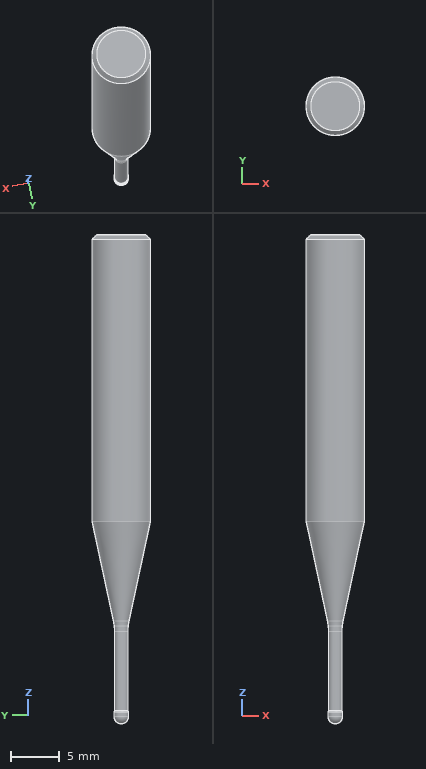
import cadquery as cq
import math

PROFILE_PLANE = cq.Plane(origin=(0, 0, 0), xDir=(0, -1, 0), normal=(-1, 0, 0))

total_length = 50.0
shank_radius = 3.0
shank_bottom = 20.7
top_chamfer = 0.5

ball_radius = 0.75
head_top = 1.2

neck_radius = 0.7
relief_cone_top = 1.35

neck_length = 10.0
blend_reach = 0.55
taper_angle = math.atan2(shank_radius - neck_radius, shank_bottom - neck_length)
blend_radius = blend_reach / math.tan(taper_angle / 2)
blend_bottom = neck_length - blend_reach


def blend_point(angle):
    """Profile point on the blend arc after it has turned by angle from the neck."""
    return (
        neck_radius + blend_radius * (1 - math.cos(angle)),
        blend_bottom + blend_radius * math.sin(angle),
    )


def revolve_profile(profile):
    """Turn a radius-height profile about Z, keeping the edge between the blend arcs."""
    return profile.close().revolve(360, (0, 0, 0), (0, 1, 0), clean=False)


def make_cutting_head():
    """Hemispherical tip under a short cylinder."""
    arc_middle = (
        ball_radius * math.sin(math.pi / 4),
        ball_radius * (1 - math.cos(math.pi / 4)),
    )
    profile = (
        cq.Workplane(PROFILE_PLANE)
        .moveTo(0, 0)
        .threePointArc(arc_middle, (ball_radius, ball_radius))
        .lineTo(ball_radius, head_top)
        .lineTo(0, head_top)
    )
    return revolve_profile(profile)


def make_shank():
    """Relieved neck, blended taper and chamfered cylindrical shank."""
    profile = (
        cq.Workplane(PROFILE_PLANE)
        .moveTo(0, head_top)
        .lineTo(ball_radius, head_top)
        .lineTo(neck_radius, relief_cone_top)
        .lineTo(neck_radius, blend_bottom)
        .threePointArc(blend_point(taper_angle / 4), blend_point(taper_angle / 2))
        .threePointArc(blend_point(taper_angle * 3 / 4), blend_point(taper_angle))
        .lineTo(shank_radius, shank_bottom)
        .lineTo(shank_radius, total_length - top_chamfer)
        .lineTo(shank_radius - top_chamfer, total_length)
        .lineTo(0, total_length)
    )
    return revolve_profile(profile)


cutting_head = make_cutting_head()
shank = make_shank()
result = cq.Compound.makeCompound([cutting_head.val(), shank.val()])